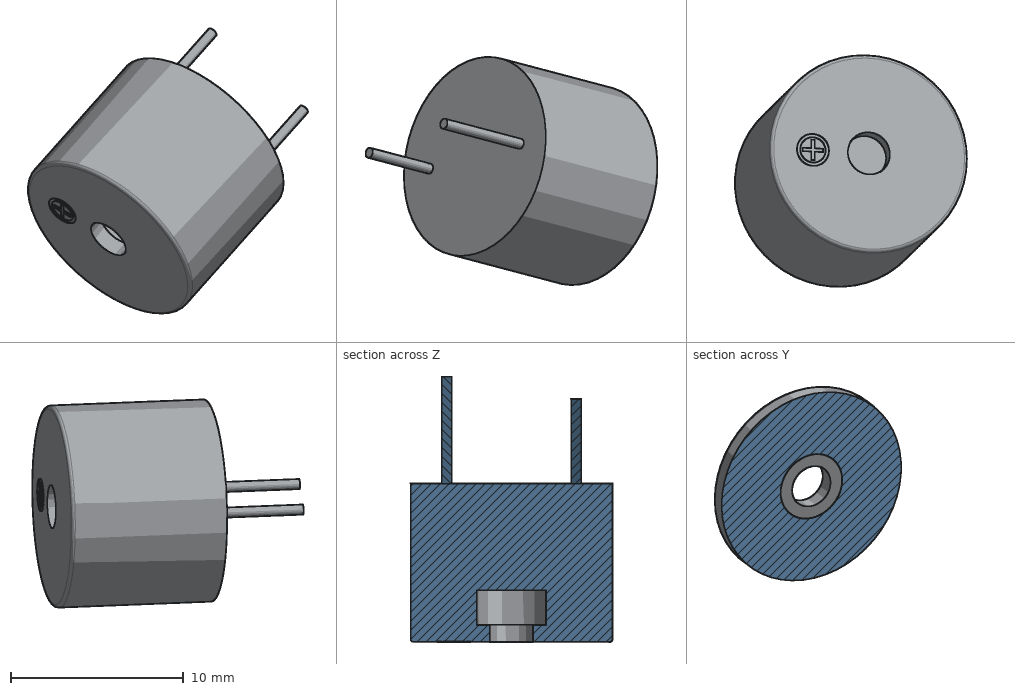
import cadquery as cq


HOUSING_DIAMETER = 11.75
HOUSING_LENGTH = 9.2
RIM_FILLET = 0.2

PORT_DIAMETER = 2.5
PORT_DEPTH = 1.0
CHAMBER_DIAMETER = 4.0
CHAMBER_LENGTH = 2.0

MARK_X = -3.32
MARK_Z = 0.04
MARK_DEPTH = 0.05
MARK_RING_OUTER_DIAMETER = 1.9
MARK_RING_INNER_DIAMETER = 1.5
PLUS_SPAN = 1.2
PLUS_STROKE = 0.2

PIN_DIAMETER = 0.6
PIN_SPACING = 7.5
LONG_PIN_LENGTH = 6.2
SHORT_PIN_LENGTH = 4.9

BACK_Y = 0.0
FRONT_Y = BACK_Y - HOUSING_LENGTH


def plane_at(y, x=0.0, z=0.0):
    """Sketch plane facing +Y with its local x along +X."""
    return cq.Workplane(cq.Plane(origin=(x, y, z), xDir=(1, 0, 0), normal=(0, 1, 0)))


def cylinder(diameter, start_y, length, x=0.0):
    """Cylinder running toward +Y from start_y."""
    return plane_at(start_y, x).circle(diameter / 2).extrude(length)


def make_sound_port():
    mouth = cylinder(PORT_DIAMETER, FRONT_Y, PORT_DEPTH)
    chamber = cylinder(CHAMBER_DIAMETER, FRONT_Y + PORT_DEPTH, CHAMBER_LENGTH)
    return mouth.union(chamber)


def make_polarity_mark():
    face = plane_at(FRONT_Y, MARK_X, MARK_Z)
    ring = (
        face.circle(MARK_RING_OUTER_DIAMETER / 2)
        .circle(MARK_RING_INNER_DIAMETER / 2)
        .extrude(MARK_DEPTH)
    )
    bar_across = face.rect(PLUS_SPAN, PLUS_STROKE).extrude(MARK_DEPTH)
    bar_up = face.rect(PLUS_STROKE, PLUS_SPAN).extrude(MARK_DEPTH)
    plus = bar_across.union(bar_up)
    return ring, plus


def make_housing():
    body = cylinder(HOUSING_DIAMETER, FRONT_Y, HOUSING_LENGTH)
    body = body.faces("<Y").edges().fillet(RIM_FILLET)
    body = body.cut(make_sound_port())
    for engraving in make_polarity_mark():
        body = body.cut(engraving)
    return body


def make_pin(x, length):
    """Pin that stands on the back face of the housing."""
    return cylinder(PIN_DIAMETER, BACK_Y, length, x)


housing = make_housing()

pins = []
for pin_x, pin_length in (
    (-PIN_SPACING / 2, LONG_PIN_LENGTH),
    (PIN_SPACING / 2, SHORT_PIN_LENGTH),
):
    pins.append(make_pin(pin_x, pin_length).val())

result = cq.Compound.makeCompound([housing.val(), *pins])